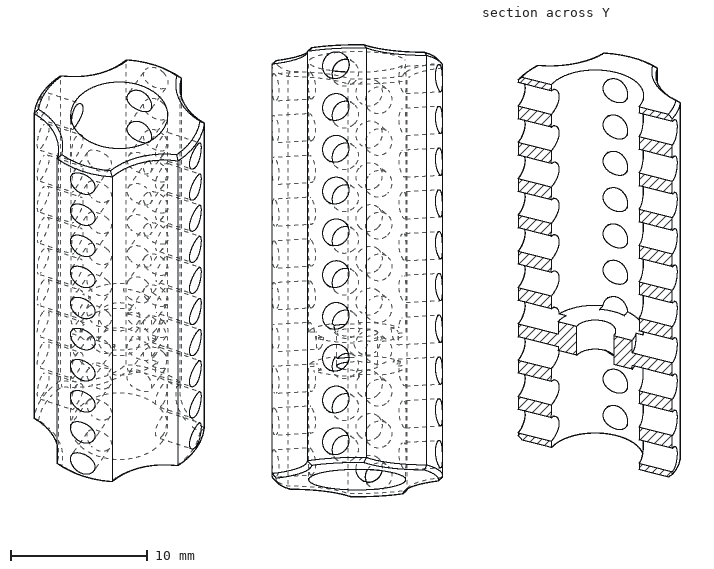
import cadquery as cq
import math

length = 31.25
outer_diameter = 12.5
lobe_width = 4.47
flute_floor_radius = 5.0
edge_chamfer = 0.3

bore_diameter = 7.1
web_bottom = 8.5
web_top = 11.0
web_hole_diameter = 3.0

lobe_count = 4
holes_per_row = 10
radial_hole_diameter = 2.0
radial_hole_inner_radius = 3.0

outer_radius = outer_diameter / 2
lobe_step = 360.0 / lobe_count
hole_pitch = length / holes_per_row


def polar(radius, degrees):
    angle = math.radians(degrees)
    return (radius * math.cos(angle), radius * math.sin(angle))


def fluted_body():
    half_lobe = math.degrees(math.asin(lobe_width / 2 / outer_radius))
    outline = cq.Workplane("XY").moveTo(*polar(outer_radius, -half_lobe))
    for index in range(lobe_count):
        middle = index * lobe_step
        outline = outline.threePointArc(
            polar(outer_radius, middle), polar(outer_radius, middle + half_lobe)
        )
        outline = outline.threePointArc(
            polar(flute_floor_radius, middle + lobe_step / 2),
            polar(outer_radius, middle + lobe_step - half_lobe),
        )
    body = outline.close().extrude(length)
    return body.faces("<Z or >Z").chamfer(edge_chamfer)


def cylinder(diameter, bottom, top):
    return cq.Workplane("XY").workplane(offset=bottom).circle(diameter / 2).extrude(top - bottom)


def hole_row():
    """The holes of the lobe on +X, stopping on a cylinder around the part axis."""
    heights = [(index + 0.5) * hole_pitch for index in range(holes_per_row)]
    row = (
        cq.Workplane("YZ")
        .pushPoints([(0, height) for height in heights])
        .circle(radial_hole_diameter / 2)
        .extrude(outer_diameter)
    )
    return row.cut(cylinder(2 * radial_hole_inner_radius, 0, length))


result = (
    fluted_body()
    .cut(cylinder(bore_diameter, 0, web_bottom))
    .cut(cylinder(bore_diameter, web_top, length))
    .cut(cylinder(web_hole_diameter, 0, length))
)

row = hole_row()
for lobe in range(lobe_count):
    result = result.cut(row.rotate((0, 0, 0), (0, 0, 1), lobe * lobe_step))